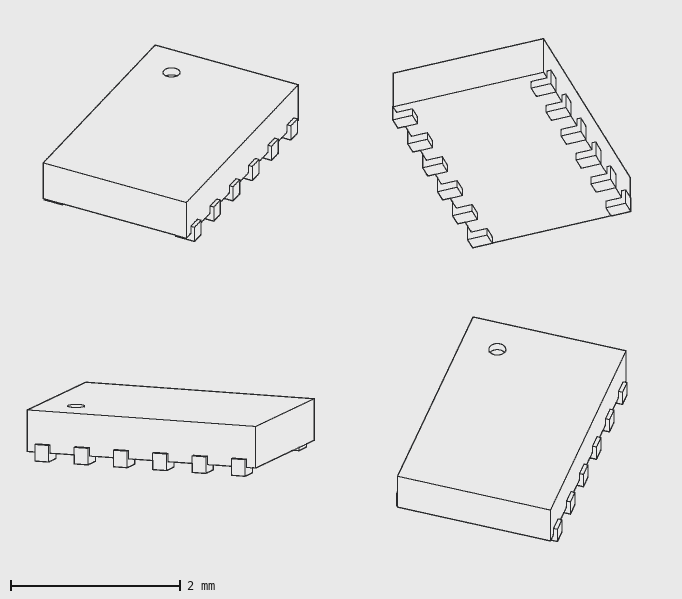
import cadquery as cq

total_width = 2.0
body_length = 2.9
total_height = 0.6

leads_per_side = 6
lead_pitch = 0.5
lead_width = 0.175
lead_length = 0.25
lead_height = 0.2
lead_overhang = 0.05
standoff = 0.1

body_width = total_width - 2 * lead_overhang
body_height = total_height - standoff

marker_diameter = 0.2
marker_depth = 0.1
marker_inset = 0.447


def make_body():
    return cq.Workplane("XY").workplane(offset=standoff).box(
        body_width, body_length, body_height, centered=(True, True, False)
    )


def make_leads():
    row_x = (total_width - lead_length) / 2
    first_y = -lead_pitch * (leads_per_side - 1) / 2
    centres = [
        (side * row_x, first_y + index * lead_pitch)
        for side in (-1, 1)
        for index in range(leads_per_side)
    ]
    return cq.Workplane("XY").pushPoints(centres).rect(lead_length, lead_width).extrude(lead_height)


def make_marker():
    return (
        cq.Workplane("XY")
        .workplane(offset=total_height)
        .center(marker_inset - body_width / 2, body_length / 2 - marker_inset)
        .circle(marker_diameter / 2)
        .extrude(-marker_depth)
    )


result = make_body().union(make_leads()).cut(make_marker())